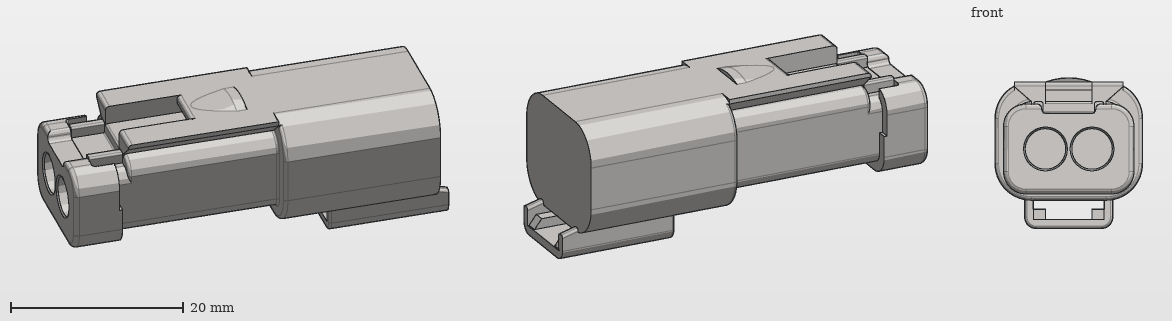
import cadquery as cq
import math

total_length = 46.2

clearance = 0.45
select_margin = 0.05

body_width = 17.15
body_half_width = body_width / 2
body_top = 7.8
body_bottom = -5.95
body_radius = 4.25
body_front = 25.15
body_rear = 44.15
body_edge_fillet = 0.4

mid_half_width = 6.33
mid_top = 5.5
mid_bottom = -3.95
mid_top_radius = 2.0
mid_bottom_radius = 1.35
mid_front = 6.9
mid_edge_fillet = 0.4
root_fillet = 0.3

core_top = 4.15
core_top_radius = 1.52

nose_half_width = 7.57
nose_top = 5.2
nose_bottom = -5.2
nose_radius = 2.6
nose_length = 5.8
nose_upper_length = 5.45
nose_edge_fillet = 0.55

opening_half_width = 5.5
opening_floor = 3.95
opening_front = 2.8
opening_radius = 0.4
notch_half_width = 2.6
notch_floor = 4.1
rib_inner = 3.0
rib_outer = 4.05
rib_top = 5.5
rib_edge_fillet = 0.25

plate_side_height = 0.55
plate_edge_fillet = 0.5
dovetail_half_width = 4.35
slot_half_width = 2.72
slot_floor = 5.5
slot_end = 15.55
slot_end_fillet = 0.5
floor_lip_fillet = 0.25
pocket_end_fillet = 0.2
undercut_roof = 6.85
undercut_depth = 2.3

ramp_half_width = 2.65
ramp_height = 0.45
ramp_rear = 22.45
ramp_crest = 21.2
ramp_tip = 16.45

hole_spacing = 5.4
hole_radius = 2.35
hole_chamfer = 0.2
hole_depth = 1.4

bracket_half_width = 5.13
bracket_bottom = -9.25
bracket_front = 31.7
bracket_radius = 1.35
bracket_edge_fillet = 0.3
bracket_rise = 0.55
bracket_rim_fillet = 0.32
channel_half_width = 4.1
channel_floor = -8.17
rail_inner = 2.7
rail_top = -6.97
rail_slope_length = 0.92
rail_front_setback = 0.55
rail_rear_setback = 0.2


def block(x_min, x_max, y_min, y_max, z_min, z_max):
    """Box given by its limits along each axis."""
    size = (x_max - x_min, y_max - y_min, z_max - z_min)
    return cq.Workplane("XY").box(*size, centered=False).translate((x_min, y_min, z_min))


def section_plane(y):
    """Workplane across the part at y; local axes are X and Z, and a negative extrusion runs toward +Y."""
    return cq.Workplane(cq.Plane(origin=(0, y, 0), xDir=(1, 0, 0), normal=(0, -1, 0)))


def rounded_prism(half_width, z_min, z_max, bottom_radius, top_radius, y_min, y_max):
    """Symmetric block along Y with rounded lower and upper corners."""
    prism = block(-half_width, half_width, y_min, y_max, z_min, z_max)
    prism = prism.edges("|Y and <Z").fillet(bottom_radius)
    return prism.edges("|Y and >Z").fillet(top_radius) if top_radius else prism


def both_sides(solid):
    """The solid together with its mirror image across the middle plane."""
    return solid.union(solid.mirror("YZ"))


def housing():
    body = rounded_prism(body_half_width, body_bottom, body_top, body_radius, body_radius,
                         body_front, body_rear)
    body = body.faces("<Y").edges().fillet(body_edge_fillet)
    mid = rounded_prism(mid_half_width, mid_bottom, mid_top, mid_bottom_radius, mid_top_radius,
                        mid_front, body_front + body_edge_fillet)
    mid = mid.faces("<Y").edges().fillet(mid_edge_fillet)
    joined = body.union(mid)
    root = cq.selectors.BoxSelector(
        (-mid_half_width - select_margin, body_front - select_margin, mid_bottom - select_margin),
        (mid_half_width + select_margin, body_front + select_margin, mid_top + select_margin),
    )
    return joined.edges(root).fillet(root_fillet)


def plate():
    side_bottom = body_top - plate_side_height
    half_outline = [
        (mid_half_width, body_top),
        (mid_half_width, side_bottom),
        (dovetail_half_width, mid_top),
        (dovetail_half_width, core_top),
    ]
    outline = half_outline + [(-x, z) for x, z in reversed(half_outline)]
    solid = section_plane(mid_front).polyline(outline).close().extrude(mid_front - body_front)
    solid = solid.faces(">Z").edges("<Y").fillet(plate_edge_fillet)
    bridge = rounded_prism(body_half_width, body_bottom, body_top, body_radius, body_radius,
                           body_front, body_front + body_edge_fillet)
    width_limit = block(-mid_half_width, mid_half_width, body_front, body_rear, mid_top, body_top)
    return solid.union(bridge.intersect(width_limit))


def slot():
    above = body_top + clearance
    cut = block(-slot_half_width, slot_half_width, mid_front - clearance, slot_end, slot_floor, above)
    undercut = block(-slot_half_width, slot_half_width, mid_front - clearance, slot_end + undercut_depth,
                     slot_floor, undercut_roof)
    rim = block(-slot_half_width, slot_half_width, slot_end, slot_end + slot_end_fillet,
                body_top - slot_end_fillet, body_top)
    roller = (cq.Workplane("YZ", origin=(-slot_half_width, 0, 0))
              .center(slot_end + slot_end_fillet, body_top - slot_end_fillet)
              .circle(slot_end_fillet).extrude(2 * slot_half_width))
    return cut.union(undercut).union(rim.cut(roller))


def ramp():
    crest_radius = (ramp_half_width**2 + ramp_height**2) / (2 * ramp_height)
    tip_radius = crest_radius - ramp_height
    axis_z = body_top - tip_radius
    profile = [(0, ramp_tip), (tip_radius, ramp_tip), (crest_radius, ramp_crest),
               (crest_radius, ramp_rear), (0, ramp_rear)]
    solid = cq.Workplane("XY").polyline(profile).close().revolve(360, (0, 0), (0, 1))
    visible = block(-ramp_half_width, ramp_half_width, ramp_tip, ramp_rear,
                    body_top - ramp_height, body_top + ramp_height)
    return solid.translate((0, 0, axis_z)).intersect(visible)


def notch():
    """Front end of the nose opening, with S-curved sides."""
    radius = (nose_top - notch_floor) / 2
    middle = notch_floor + radius
    diagonal = radius * math.sqrt(0.5)
    wall = notch_half_width + radius
    shoulder = wall + radius
    above = rib_top + clearance
    return (
        section_plane(-clearance)
        .moveTo(-notch_half_width, notch_floor)
        .lineTo(notch_half_width, notch_floor)
        .threePointArc((notch_half_width + diagonal, middle - diagonal), (wall, middle))
        .threePointArc((shoulder - diagonal, middle + diagonal), (shoulder, nose_top))
        .lineTo(shoulder, above)
        .lineTo(-shoulder, above)
        .lineTo(-shoulder, nose_top)
        .threePointArc((-shoulder + diagonal, middle + diagonal), (-wall, middle))
        .threePointArc((-notch_half_width - diagonal, middle - diagonal), (-notch_half_width, notch_floor))
        .close()
        .extrude(-opening_front - 2 * clearance)
    )


def nose():
    solid = rounded_prism(nose_half_width, nose_bottom, nose_top, nose_radius, nose_radius,
                          0, nose_length)
    solid = solid.faces("<Y").edges().fillet(nose_edge_fillet)
    upper_step = block(-nose_half_width, nose_half_width, nose_upper_length, nose_length, 0, nose_top)
    opening = block(-opening_half_width, opening_half_width, opening_front, nose_length,
                    opening_floor, nose_top)
    opening = opening.edges("|Z and <Y").fillet(opening_radius)
    solid = solid.cut(upper_step).cut(opening).cut(notch())
    core = rounded_prism(mid_half_width, mid_bottom, core_top, mid_bottom_radius, core_top_radius,
                         opening_front, mid_front + 2 * mid_edge_fillet)
    rib = block(rib_inner, rib_outer, opening_front, mid_front + mid_edge_fillet, opening_floor, rib_top)
    rib = rib.edges("|Y and >Z").fillet(rib_edge_fillet)
    return solid.union(core).union(both_sides(rib))


def contact_holes():
    centers = [(-hole_spacing / 2, 0), (hole_spacing / 2, 0)]
    holes = section_plane(0).pushPoints(centers).circle(hole_radius).extrude(-hole_depth)
    entries = (section_plane(0).pushPoints(centers).circle(hole_radius + hole_chamfer)
               .extrude(-hole_chamfer, taper=45))
    return holes.union(entries)


def bracket():
    solid = rounded_prism(bracket_half_width, bracket_bottom, body_bottom + bracket_rise, bracket_radius, 0,
                          bracket_front, total_length)
    solid = solid.faces("<Y").edges("not >Z").fillet(bracket_edge_fillet)
    top_slope = (
        cq.Workplane("YZ")
        .polyline([(body_rear, body_bottom + bracket_rise), (total_length, body_bottom + bracket_rise),
                   (total_length, body_bottom)])
        .close()
        .extrude(bracket_half_width, both=True)
    )
    channel = block(-channel_half_width, channel_half_width, bracket_front, total_length,
                    channel_floor, body_bottom + bracket_rise)
    rail_front = bracket_front + rail_front_setback
    rail_rear = total_length - rail_rear_setback
    rail = (
        cq.Workplane("YZ", origin=(rail_inner, 0, 0))
        .polyline([(rail_front, channel_floor), (rail_front, rail_top),
                   (rail_rear - rail_slope_length, rail_top), (rail_rear, channel_floor)])
        .close()
        .extrude(channel_half_width - rail_inner)
    )
    solid = solid.cut(channel).cut(top_slope)
    rim = cq.selectors.BoxSelector(
        (-bracket_half_width - clearance, body_rear, body_bottom),
        (bracket_half_width + clearance, total_length - select_margin, body_bottom + bracket_rise),
    )
    solid = solid.edges(rim).edges("not |X").fillet(bracket_rim_fillet)
    return solid.union(both_sides(rail))


def front_wall_edge(z):
    """Selects the edge at height z along the front of the slot floor, between the ribs."""
    return cq.selectors.BoxSelector(
        (-rib_inner - select_margin, mid_front - select_margin, z - select_margin),
        (rib_inner + select_margin, mid_front + select_margin, z + select_margin),
        boundingbox=True,
    )


result = housing().union(plate()).cut(slot()).union(nose())
result = result.edges(front_wall_edge(slot_floor)).fillet(floor_lip_fillet)
result = result.edges(front_wall_edge(core_top)).fillet(pocket_end_fillet)
result = result.union(bracket())
result = result.union(ramp()).cut(contact_holes())